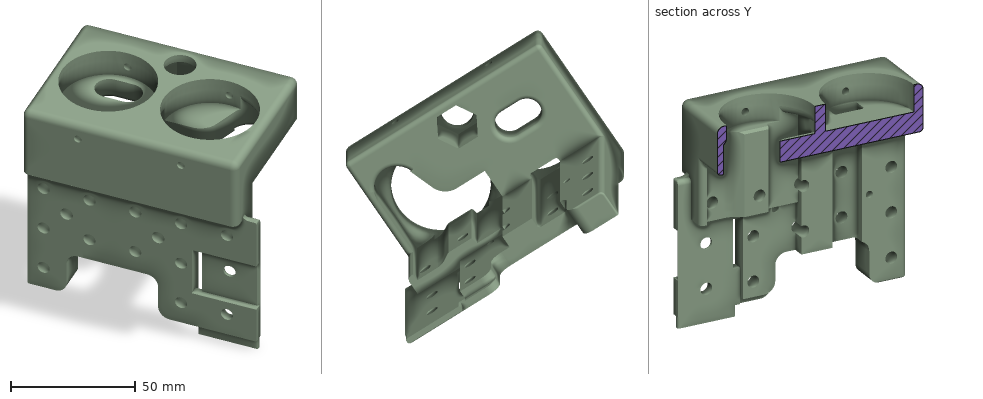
import cadquery as cq
import math

PLATE_WIDTH = 100.0
PLATE_HEIGHT = 60.0
HEAD_WIDTH = 94.0
HEAD_DEPTH = 64.0
HEAD_TOP = 91.5
HEAD_BOTTOM = 70.0
PLATE_FRONT = 6.0
PLATE_BACK = 18.0
WING_BACK = 10.0
ROUND_LARGE = 3.0
ROUND_SMALL = 2.0
CORNER_ROUND = 0.8

SOCKET_RADIUS = 20.1
SOCKET_DEPTH = 12.0
SOCKET_FLOOR = HEAD_TOP - SOCKET_DEPTH
LEFT_SOCKET = (24.5, 31.6)
RIGHT_SOCKET = (69.5, 30.3)
PIN_DIAMETER = 3.3
PIN_HEIGHT = 84.5

SLOT_LENGTH = 20.2
SLOT_WIDTH = 12.0
SLOT_CENTRE = (24.7, 42.0)
CABLE_LEFT = 20.4
CABLE_RIGHT = 33.9
CABLE_FRONT = 13.0
CABLE_BACK = 20.0
CABLE_ROUND = 1.2

BORE_DIAMETER = 13.2
BORE_CENTRE = (HEAD_WIDTH / 2, 52.7)
BORE_SHOULDER = 88.0
HEXAGON_FLATS = 16.0

CAVITY_LEFT = 48.0
CAVITY_RIGHT = 91.0
CAVITY_FRONT = 15.0
CAVITY_STEP_Y = 31.0
CAVITY_END_RADIUS = 9.2
CAVITY_END_Y = 43.9
SLANT_ANGLE = 70.4
STEP_ROUND = 8.5
RIM_START = 25.0
RIM_END = 90.0 + SLANT_ANGLE
FLARE_TOP = 86.2
FLARE_RADIUS = 4.0

BOSS_LEFT = 62.2
BOSS_TOP_LEFT = 62.9
BOSS_TOP_RIGHT = 74.0
BOSS_SHOULDER = (77.1, 16.2)
BOSS_RIGHT = 81.0
BOSS_CHAMFER = 1.0
BOSS_SWEEP = 7.0
RECESS_STEP = 42.0

HOLE_DIAMETER = 5.3
HOLE_PITCH = 20.0
HOLE_FIRST_X = 7.1
HOLE_FIRST_Z = 10.0
COLUMNS = 5
ROWS = 3
SCREW_HEIGHT = HOLE_FIRST_Z + 1.5 * HOLE_PITCH
SCREW_DIAMETER = 3.2
SCREW_HEAD_DIAMETER = 5.5
SCREW_HEAD_DEPTH = 6.0

NOTCH_LEFT = 17.1
NOTCH_RIGHT = 57.1
NOTCH_HEIGHT = 20.0
NOTCH_ROUND = 5.0
LEG_BACK = 12.7
LEG_STEP_Y = 9.2
LEG_STEP_HEIGHT = 3.2

WINDOW_LEFT = 71.8
WINDOW_BOTTOM = 16.2
WINDOW_TOP = 38.1
TONGUE_FRONT = 7.7
WINDOW_FLOOR = 8.7
TONGUE_LEFT = 73.7
TONGUE_DROP = 5.0
TONGUE_EDGE_ROUND = 0.8
SHEET_LEFT = 75.0
HOLLOW_RUN = 2.9
HOLLOW_RISE = 1.4


def block(x0, x1, y0, y1, z0, z1):
    return cq.Workplane("XY").box(x1 - x0, y1 - y0, z1 - z0, centered=False).translate((x0, y0, z0))


def bore_y(x, z, diameter, y0, y1):
    return cq.Workplane("XZ", origin=(x, y0, z)).circle(diameter / 2).extrude(y0 - y1)


def bore_z(centre, radius, z0, z1):
    return cq.Workplane("XY", origin=(*centre, z0)).circle(radius).extrude(z1 - z0)


def make_head_and_plate():
    head = block(0, HEAD_WIDTH, 0, HEAD_DEPTH, HEAD_BOTTOM, HEAD_TOP)
    skirt = block(0, HEAD_WIDTH, 0, PLATE_BACK, PLATE_HEIGHT, HEAD_TOP)
    plate = block(0, HEAD_WIDTH, PLATE_FRONT, PLATE_BACK, 0, HEAD_TOP)
    body = head.union(skirt).union(plate).clean()

    front_uprights = body.edges("<Y and |Z").vals()
    top_rim = body.faces(">Z").edges("not >Y").vals()
    body = body.newObject(front_uprights + top_rim).fillet(ROUND_LARGE)

    middle_x = HEAD_WIDTH / 2
    back_rim = body.faces(">Y").edges().vals()
    underside = cq.NearestToPointSelector((middle_x, (PLATE_BACK + HEAD_DEPTH) / 2, HEAD_BOTTOM))
    plate_back = cq.NearestToPointSelector((middle_x, PLATE_BACK, HEAD_BOTTOM / 2))
    underside_edges = body.faces(underside).edges("|Y").vals()
    plate_edges = body.faces(plate_back).edges("|Z").vals()
    body = body.newObject(back_rim + underside_edges + plate_edges).fillet(ROUND_SMALL)
    return body.edges("<X and <Z").edges("|Y").fillet(CORNER_ROUND)


def make_wing():
    wing = block(SHEET_LEFT, PLATE_WIDTH, PLATE_FRONT, WING_BACK, 0, PLATE_HEIGHT)
    wing = wing.edges(">X and >Z").fillet(CORNER_ROUND)
    hollow_radius = (HOLLOW_RUN**2 + HOLLOW_RISE**2) / (2 * HOLLOW_RISE)
    hollow = (
        cq.Workplane("XZ", origin=(HEAD_WIDTH, WING_BACK, PLATE_HEIGHT))
        .lineTo(HOLLOW_RUN, 0)
        .radiusArc((0, HOLLOW_RISE), hollow_radius)
        .close()
        .extrude(WING_BACK - PLATE_FRONT)
    )
    corner_y = WING_BACK - ROUND_SMALL
    corner_z = PLATE_HEIGHT - ROUND_SMALL
    rounding = block(HEAD_WIDTH, PLATE_WIDTH, corner_y, WING_BACK, corner_z, PLATE_HEIGHT + HOLLOW_RISE)
    rod = cq.Workplane("YZ", origin=(HEAD_WIDTH, corner_y, corner_z)).circle(ROUND_SMALL)
    rounding = rounding.cut(rod.extrude(PLATE_WIDTH - HEAD_WIDTH))
    return wing.union(hollow).cut(rounding)


def make_tongue():
    tongue = block(TONGUE_LEFT, PLATE_WIDTH, TONGUE_FRONT, WING_BACK, -TONGUE_DROP, WINDOW_BOTTOM)
    tongue = tongue.edges("|Z").fillet(TONGUE_EDGE_ROUND)
    sheet = block(SHEET_LEFT, PLATE_WIDTH, WINDOW_FLOOR, WING_BACK, WINDOW_BOTTOM, WINDOW_TOP)
    return tongue.union(sheet.edges("|Z and >X and <Y").chamfer(TONGUE_EDGE_ROUND))


def make_sockets():
    cutter = bore_z(LEFT_SOCKET, SOCKET_RADIUS, SOCKET_FLOOR, HEAD_TOP)
    cutter = cutter.union(bore_z(RIGHT_SOCKET, SOCKET_RADIUS, SOCKET_FLOOR, HEAD_TOP))
    for x, _ in (LEFT_SOCKET, RIGHT_SOCKET):
        cutter = cutter.union(bore_y(x, PIN_HEIGHT, PIN_DIAMETER, 0, HEAD_DEPTH))
    return cutter


def make_left_openings():
    slot = (
        cq.Workplane("XY", origin=(*SLOT_CENTRE, HEAD_BOTTOM))
        .slot2D(SLOT_LENGTH, SLOT_WIDTH)
        .extrude(SOCKET_FLOOR - HEAD_BOTTOM)
    )
    cable = block(CABLE_LEFT, CABLE_RIGHT, CABLE_FRONT, CABLE_BACK, 0, SOCKET_FLOOR)
    return slot.union(cable.edges("|Z").fillet(CABLE_ROUND))


def make_centre_bore():
    bore = bore_z(BORE_CENTRE, BORE_DIAMETER / 2, HEAD_BOTTOM, HEAD_TOP)
    hexagon = (
        cq.Workplane("XY", origin=(*BORE_CENTRE, HEAD_BOTTOM))
        .transformed(rotate=(0, 0, 30))
        .polygon(6, HEXAGON_FLATS, circumscribed=True)
        .extrude(BORE_SHOULDER - HEAD_BOTTOM)
    )
    return bore.union(hexagon)


def cavity_prism(height):
    slant = math.radians(SLANT_ANGLE)
    end_x = CAVITY_RIGHT - CAVITY_END_RADIUS
    tangent_x = end_x - CAVITY_END_RADIUS * math.sin(slant)
    tangent_y = CAVITY_END_Y + CAVITY_END_RADIUS * math.cos(slant)
    step_x = tangent_x - (tangent_y - CAVITY_STEP_Y) / math.tan(slant)
    prism = (
        cq.Workplane("XY", origin=(0, 0, HEAD_BOTTOM))
        .moveTo(CAVITY_LEFT, CAVITY_FRONT)
        .lineTo(CAVITY_RIGHT, CAVITY_FRONT)
        .lineTo(CAVITY_RIGHT, CAVITY_END_Y)
        .threePointArc((end_x, CAVITY_END_Y + CAVITY_END_RADIUS), (tangent_x, tangent_y))
        .lineTo(step_x, CAVITY_STEP_Y)
        .lineTo(CAVITY_LEFT, CAVITY_STEP_Y)
        .close()
        .extrude(height)
    )
    step_edge = cq.NearestToPointSelector((step_x, CAVITY_STEP_Y, HEAD_BOTTOM + height / 2))
    return prism.edges(step_edge).fillet(STEP_ROUND)


def make_boss():
    boss = (
        cq.Workplane("XY", origin=(0, 0, RECESS_STEP))
        .moveTo(BOSS_LEFT, CAVITY_FRONT)
        .lineTo(BOSS_TOP_LEFT, PLATE_BACK)
        .lineTo(BOSS_TOP_RIGHT, PLATE_BACK)
        .lineTo(*BOSS_SHOULDER)
        .radiusArc((BOSS_RIGHT, CAVITY_FRONT), -BOSS_SWEEP)
        .close()
        .extrude(SOCKET_FLOOR - RECESS_STEP)
    )
    return boss.edges(">Y and >Z").chamfer(BOSS_CHAMFER)


def quarter_flare(radius, flare, top, angle):
    """Sector about Z that widens downwards from its top radius along a quarter round."""
    return (
        cq.Workplane("XZ")
        .moveTo(0, top)
        .lineTo(radius, top)
        .radiusArc((radius + flare, top - flare), -flare)
        .lineTo(0, top - flare)
        .close()
        .revolve(angle, (0, 0), (0, 1))
    )


def make_cavity():
    roof = FLARE_TOP - FLARE_RADIUS
    flare = quarter_flare(SOCKET_RADIUS, FLARE_RADIUS, FLARE_TOP, 360).translate((*RIGHT_SOCKET, 0))
    flare = flare.intersect(cavity_prism(FLARE_TOP - HEAD_BOTTOM))

    rim = quarter_flare(CAVITY_END_RADIUS, ROUND_SMALL, HEAD_BOTTOM + ROUND_SMALL, RIM_END - RIM_START)
    rim = rim.rotate((0, 0, 0), (0, 0, 1), RIM_START)
    rim = rim.translate((CAVITY_RIGHT - CAVITY_END_RADIUS, CAVITY_END_Y, 0))
    return cavity_prism(roof - HEAD_BOTTOM).union(flare).union(rim).cut(make_boss())


def make_plate_recess():
    above = block(CAVITY_LEFT, CAVITY_RIGHT, CAVITY_FRONT, PLATE_BACK, RECESS_STEP, HEAD_BOTTOM)
    leg = block(CAVITY_LEFT, WINDOW_LEFT, LEG_BACK, PLATE_BACK, 0, RECESS_STEP)
    wing = block(WINDOW_LEFT, HEAD_WIDTH, WING_BACK, PLATE_BACK, 0, RECESS_STEP)
    return above.cut(make_boss()).union(leg).union(wing)


def notch_flare(x, side, height, y0, y1):
    """Cutter that rounds the lower corner where a notch wall meets an edge at the given height."""
    return (
        cq.Workplane("XZ", origin=(x, y1, height))
        .lineTo(side * NOTCH_ROUND, 0)
        .radiusArc((0, NOTCH_ROUND), side * NOTCH_ROUND)
        .close()
        .extrude(y1 - y0)
    )


def make_notch():
    notch = block(NOTCH_LEFT, NOTCH_RIGHT, PLATE_FRONT, PLATE_BACK, 0, NOTCH_HEIGHT)
    notch = notch.edges("|Y and >Z").fillet(NOTCH_ROUND)
    notch = notch.union(notch_flare(NOTCH_LEFT, -1, 0, PLATE_FRONT, PLATE_BACK))
    notch = notch.union(notch_flare(NOTCH_RIGHT, 1, 0, PLATE_FRONT, LEG_BACK))
    step = block(NOTCH_RIGHT, WINDOW_LEFT, LEG_STEP_Y, LEG_BACK, 0, LEG_STEP_HEIGHT)
    step = step.union(notch_flare(NOTCH_RIGHT, 1, LEG_STEP_HEIGHT, LEG_STEP_Y, LEG_BACK))
    return notch.union(step)


def make_mounting_holes():
    holes = cq.Workplane("XY")
    for column in range(COLUMNS):
        for row in range(ROWS):
            x = HOLE_FIRST_X + column * HOLE_PITCH
            z = HOLE_FIRST_Z + row * HOLE_PITCH
            holes = holes.union(bore_y(x, z, HOLE_DIAMETER, PLATE_FRONT, PLATE_BACK))
    head_end = PLATE_FRONT + SCREW_HEAD_DEPTH
    for x in (NOTCH_LEFT, NOTCH_RIGHT):
        holes = holes.union(bore_y(x, SCREW_HEIGHT, SCREW_DIAMETER, PLATE_FRONT, PLATE_BACK))
        holes = holes.union(bore_y(x, SCREW_HEIGHT, SCREW_HEAD_DIAMETER, PLATE_FRONT, head_end))
    return holes


body = make_head_and_plate().cut(make_plate_recess())
window = block(WINDOW_LEFT, PLATE_WIDTH, PLATE_FRONT, WING_BACK, WINDOW_BOTTOM, WINDOW_TOP)
result = body.union(make_wing()).cut(window).union(make_tongue())
for cutter in (
    make_sockets(),
    make_left_openings(),
    make_centre_bore(),
    make_cavity(),
    make_notch(),
    make_mounting_holes(),
):
    result = result.cut(cutter)

slot_x, slot_y = SLOT_CENTRE
slot_rim = cq.selectors.BoxSelector(
    (slot_x - SLOT_LENGTH / 2, slot_y - SLOT_WIDTH, HEAD_BOTTOM - CORNER_ROUND),
    (slot_x + SLOT_LENGTH / 2, slot_y + SLOT_WIDTH, HEAD_BOTTOM + CORNER_ROUND),
)
result = result.edges(slot_rim).fillet(ROUND_SMALL)